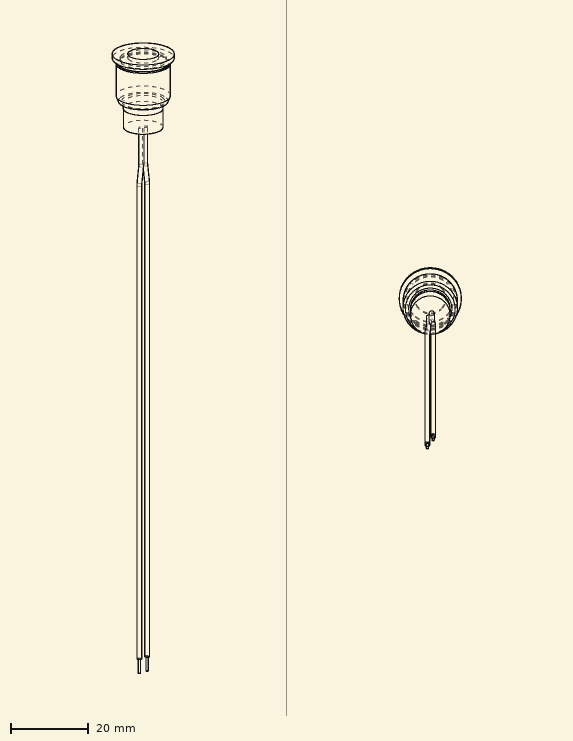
import cadquery as cq
import math

FLANGE_BOTTOM = -1.2
BODY_TOP = -2.4
BODY_BOTTOM = -11.5
TAPER_BOTTOM = -13.0
COLLAR_BOTTOM = -15.0
HOUSING_BOTTOM = -20.2
INSULATION_END = -166.2
STRAND_END = -170.2

FLANGE_DIA = 16.0
NECK_DIA = 12.0
BODY_DIA = 14.0
TAPER_END_DIA = 12.8
COLLAR_DIA = 10.3
TAIL_DIA = 10.2

NECK_FLARE = 0.6
COLLAR_FLARE = 0.4
BODY_BEVEL_WIDTH = 0.1
BODY_BEVEL_HEIGHT = 0.3

BUTTON_DIA = 7.98
BUTTON_HOLE_DIA = 8.0
BUTTON_GAP_DEPTH = 1.0

WIRE_DIA = 1.3
STRAND_DIA = 0.6
WIRE_CLEARANCE = 0.02
WIRE_OVERLAP = 1.0
NEAR_OFFSET = (WIRE_DIA + WIRE_CLEARANCE) / 2
FAR_OFFSET = WIRE_DIA
SPREAD_TOP = -30.0
SPREAD_BOTTOM = -36.0
BEND_RADIUS = 6.5


def make_housing():
    """Turned housing: flange, neck, body, tapered shoulder, collar and tail."""
    outline = [
        (0, 0),
        (FLANGE_DIA / 2, 0),
        (FLANGE_DIA / 2, FLANGE_BOTTOM),
        (NECK_DIA / 2, FLANGE_BOTTOM),
        (NECK_DIA / 2, BODY_TOP + NECK_FLARE),
        (NECK_DIA / 2 + NECK_FLARE, BODY_TOP),
        (BODY_DIA / 2 - BODY_BEVEL_WIDTH, BODY_TOP),
        (BODY_DIA / 2, BODY_TOP - BODY_BEVEL_HEIGHT),
        (BODY_DIA / 2, BODY_BOTTOM),
        (TAPER_END_DIA / 2, TAPER_BOTTOM),
        (COLLAR_DIA / 2 + COLLAR_FLARE, TAPER_BOTTOM),
        (COLLAR_DIA / 2, TAPER_BOTTOM - COLLAR_FLARE),
        (COLLAR_DIA / 2, COLLAR_BOTTOM),
        (TAIL_DIA / 2, COLLAR_BOTTOM),
        (TAIL_DIA / 2, HOUSING_BOTTOM),
        (0, HOUSING_BOTTOM),
    ]
    return cq.Workplane("XZ").polyline(outline).close().revolve(360, (0, 0), (0, 1))


def make_button_gap():
    """Thin ring that separates the button from the flange."""
    ring = cq.Workplane("XY").circle(BUTTON_HOLE_DIA / 2).circle(BUTTON_DIA / 2)
    return ring.extrude(-BUTTON_GAP_DEPTH)


def bend_angle(shift, drop, radius):
    """Tilt of the slanted run that joins two equal tangent arcs in an S-bend."""
    centre_gap = 2 * radius - shift
    reach = math.hypot(drop, centre_gap)
    return math.asin(2 * radius / reach) - math.atan2(centre_gap, drop)


def arc_point(turn):
    """Sideways shift and drop along a bend that starts out vertical."""
    return BEND_RADIUS * (1 - math.cos(turn)), BEND_RADIUS * math.sin(turn)


def make_wire(side):
    """One insulated wire with its bare strand; side is +1 or -1 along Y."""
    angle = bend_angle(FAR_OFFSET - NEAR_OFFSET, SPREAD_TOP - SPREAD_BOTTOM, BEND_RADIUS)
    mid_shift, mid_drop = arc_point(angle / 2)
    end_shift, end_drop = arc_point(angle)
    wire_top = HOUSING_BOTTOM + WIRE_OVERLAP
    path = (
        cq.Workplane("YZ")
        .moveTo(side * NEAR_OFFSET, wire_top)
        .lineTo(side * NEAR_OFFSET, SPREAD_TOP)
        .threePointArc(
            (side * (NEAR_OFFSET + mid_shift), SPREAD_TOP - mid_drop),
            (side * (NEAR_OFFSET + end_shift), SPREAD_TOP - end_drop),
        )
        .lineTo(side * (FAR_OFFSET - end_shift), SPREAD_BOTTOM + end_drop)
        .threePointArc(
            (side * (FAR_OFFSET - mid_shift), SPREAD_BOTTOM + mid_drop),
            (side * FAR_OFFSET, SPREAD_BOTTOM),
        )
        .lineTo(side * FAR_OFFSET, INSULATION_END)
    )
    insulation = (
        cq.Workplane("XY", origin=(0, side * NEAR_OFFSET, wire_top))
        .circle(WIRE_DIA / 2)
        .sweep(path)
    )
    strand = (
        cq.Workplane("XY", origin=(0, side * FAR_OFFSET, INSULATION_END + WIRE_OVERLAP))
        .circle(STRAND_DIA / 2)
        .extrude(STRAND_END - INSULATION_END - WIRE_OVERLAP)
    )
    return insulation.union(strand)


result = make_housing().cut(make_button_gap())
for wire_side in (-1, 1):
    result = result.union(make_wire(wire_side))